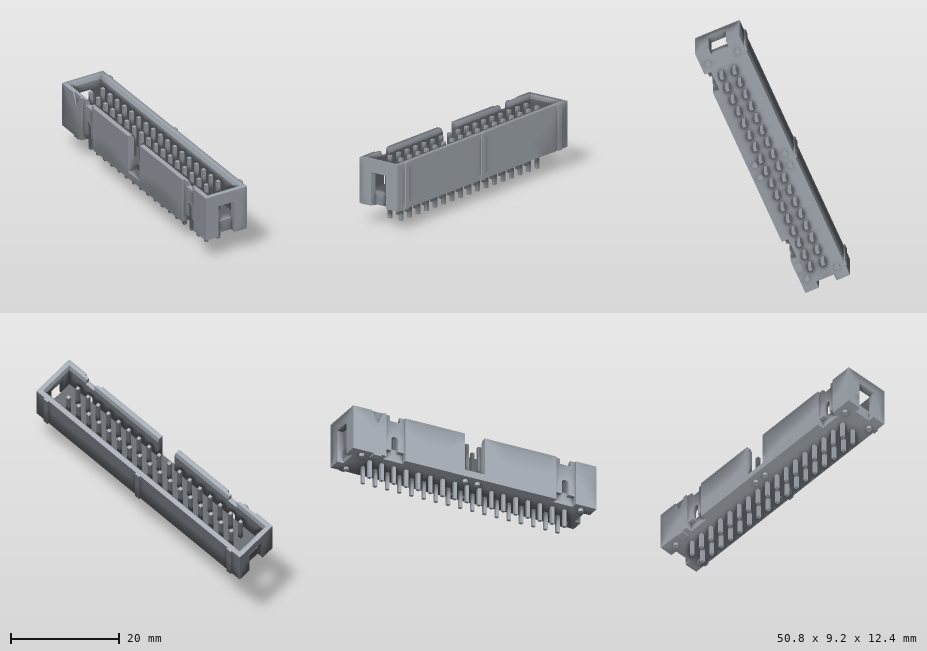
import cadquery as cq


pitch = 2.54
columns = 17
rows = 2
pin_width = 0.64
pin_top = 8.5
pin_tail = 3.5

body_length = 50.8
overall_width = 9.2
body_width = 8.9
body_height = 8.85
floor_height = 2.45
end_wall = 1.25
side_wall = 1.3
mouth_width = 0.4
mouth_depth = 0.75
front_y = -body_width / 2
back_y = body_width / 2

key_width = 4.15
key_bottom = 1.35
key_reach = 1.95

latch_centers = (-6.5 * pitch, 7.5 * pitch)
latch_width = 4.0
latch_recess = 0.4
latch_notch_width = 2.1
latch_notch_depth = 1.1
latch_foot_height = 1.7
latch_slot_width = 1.4
latch_slot_top = 4.6
latch_slot_radius = 0.6

end_opening_width = 3.5
end_opening_top = 6.45

peg_diameter = 1.0
peg_height = 0.6
peg_columns = (-9 * pitch, -0.5 * pitch, 0.5 * pitch, 9 * pitch)
peg_offset = 3.0
rib_width = 1.0
rib_height = overall_width - body_width
rib_centers = (-9 * pitch, 0, 9 * pitch)
pin_one_x = -(columns - 1) / 2 * pitch
arrow_width = 2.4
arrow_height = 2.5
arrow_depth = 0.3
pad_width = 1.6
pad_length = 1.5
pad_height = 0.3


def block(x_center, width, y_min, y_max, z_min, z_max):
    """Box centred on x_center in X, between the given limits in Y and Z."""
    return (
        cq.Workplane("XY")
        .box(width, y_max - y_min, z_max - z_min, centered=(True, False, False))
        .translate((x_center, y_min, z_min))
    )


def make_shroud():
    """Open-topped housing with a sloped lead-in around its mouth."""
    cavity_length = body_length - 2 * end_wall
    cavity_width = body_width - 2 * side_wall
    shroud = block(0, body_length, front_y, back_y, 0, body_height)
    cavity = block(0, cavity_length, -cavity_width / 2, cavity_width / 2, floor_height, body_height)
    mouth = (
        cq.Workplane("XY", origin=(0, 0, body_height - mouth_depth))
        .rect(cavity_length, cavity_width)
        .workplane(offset=mouth_depth)
        .rect(cavity_length + 2 * mouth_width, cavity_width + 2 * mouth_width)
        .loft()
    )
    return shroud.cut(cavity).cut(mouth)


def make_keyway():
    return block(0, key_width, front_y, front_y + key_reach, key_bottom, body_height)


def make_latch_pocket(x_center):
    """Shallow recess, top notch, and a slot with rounded top corners standing on a wide foot."""
    inner_y = front_y + side_wall
    recess = block(x_center, latch_width, front_y, front_y + latch_recess, 0, body_height)
    notch_bottom = body_height - latch_notch_depth
    notch = block(x_center, latch_notch_width, front_y, inner_y, notch_bottom, body_height)
    foot = block(x_center, latch_width, front_y, inner_y, 0, latch_foot_height)
    slot = block(x_center, latch_slot_width, front_y, inner_y, 0, latch_slot_top)
    slot = slot.edges("|Y and >Z").fillet(latch_slot_radius)
    return recess.union(notch).union(foot).union(slot)


def make_end_opening(side):
    x_center = side * (body_length - end_wall) / 2
    half_width = end_opening_width / 2
    return block(x_center, end_wall, -half_width, half_width, 0, end_opening_top)


def make_arrow():
    """Triangular pin 1 mark sunk into the front wall, pointing down."""
    return (
        cq.Workplane("XZ", origin=(pin_one_x, front_y, body_height))
        .polyline([(-arrow_width / 2, 0), (arrow_width / 2, 0), (0, -arrow_height)])
        .close()
        .extrude(-arrow_depth)
    )


def make_pins():
    points = cq.Workplane("XY", origin=(0, 0, -pin_tail)).rarray(pitch, pitch, columns, rows)
    return points.rect(pin_width, pin_width).extrude(pin_tail + pin_top)


def make_pegs():
    places = [(x, y) for x in peg_columns for y in (-peg_offset, peg_offset)]
    return cq.Workplane("XY").pushPoints(places).circle(peg_diameter / 2).extrude(-peg_height)


housing = make_shroud().cut(make_keyway()).cut(make_arrow())
for latch_x in latch_centers:
    housing = housing.cut(make_latch_pocket(latch_x))
for end_side in (-1, 1):
    housing = housing.cut(make_end_opening(end_side))
for rib_x in rib_centers:
    housing = housing.union(block(rib_x, rib_width, back_y, back_y + rib_height, 0, body_height))

pin_one_pad = block(pin_one_x, pad_width, front_y, front_y + pad_length, -pad_height, 0)
result = housing.union(pin_one_pad).union(make_pegs()).union(make_pins())